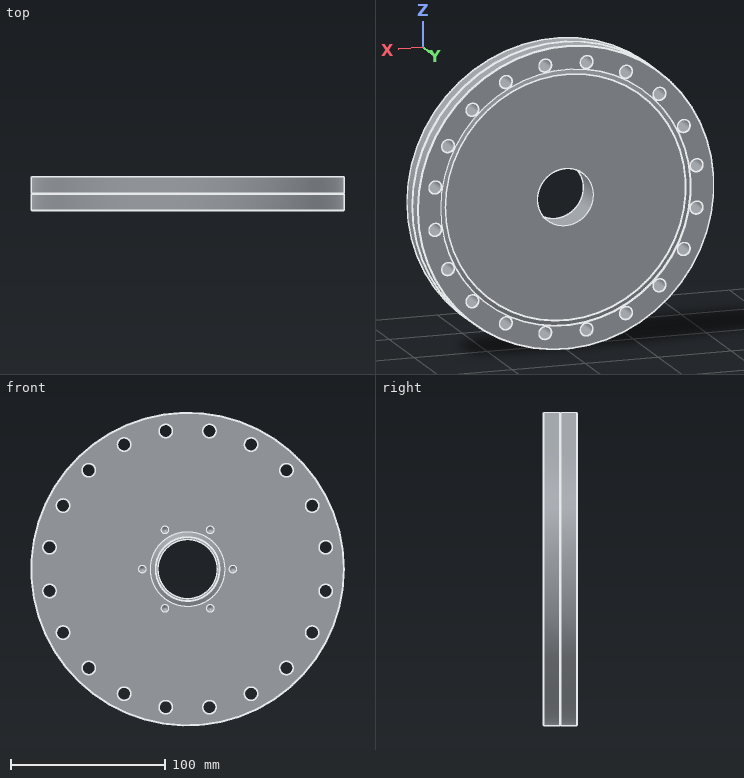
import cadquery as cq
import math

flange_dia = 203.0
thickness = 22.3
rim_chamfer = 0.5
rim_groove_width = 1.0
rim_groove_depth = rim_groove_width / 2
front_y = -thickness / 2
back_y = thickness / 2

bore_dia = 38.2

knife_slope = 20.0
knife_outer_run = 3.2
knife_inner_run = 0.5
recess_depth = 1.8
inner_floor_depth = 1.0
front_recess_dia = 48.3
back_recess_dia = 171.3

bolt_count = 20
bolt_hole_dia = 8.3
bolt_circle_dia = 181.0
bolt_hole_chamfer = 0.3

tapped_count = 6
tapped_hole_dia = 4.9
tapped_circle_dia = 58.7
tapped_depth = 12.2
drill_point_angle = 118.0


def flange_body():
    """Chamfered disc with a shallow V-groove round the middle of the rim."""
    radius = flange_dia / 2
    half_groove = rim_groove_width / 2
    return (
        cq.Workplane("XY")
        .moveTo(0, front_y)
        .lineTo(radius - rim_chamfer, front_y)
        .lineTo(radius, front_y + rim_chamfer)
        .lineTo(radius, -half_groove)
        .lineTo(radius - rim_groove_depth, 0)
        .lineTo(radius, half_groove)
        .lineTo(radius, back_y - rim_chamfer)
        .lineTo(radius - rim_chamfer, back_y)
        .lineTo(0, back_y)
        .close()
        .revolve(360, (0, 0, 0), (0, 1, 0))
    )


def knife_edge_recess(face_y, inward, recess_dia):
    """Recess cut from the face at face_y; inward is the Y sign pointing into the disc."""
    recess_radius = recess_dia / 2
    knife_radius = recess_radius - knife_outer_run
    ridge_rise = knife_outer_run * math.tan(math.radians(knife_slope))
    cone_foot_y = face_y + inward * recess_depth
    ridge_y = cone_foot_y - inward * ridge_rise
    floor_y = face_y + inward * inner_floor_depth
    return (
        cq.Workplane("XY")
        .moveTo(0, face_y)
        .lineTo(recess_radius, face_y)
        .lineTo(recess_radius, cone_foot_y)
        .lineTo(knife_radius, ridge_y)
        .lineTo(knife_radius - knife_inner_run, floor_y)
        .lineTo(0, floor_y)
        .close()
        .revolve(360, (0, 0, 0), (0, 1, 0))
    )


def ring_of_copies(cutter, count, circle_dia, start_angle):
    """Copies of a cutter lying on the Y axis, spaced evenly round a circle."""
    first = cutter.translate((circle_dia / 2, 0, 0))
    copies = cq.Workplane("XY")
    for index in range(count):
        angle = start_angle + index * 360.0 / count
        copies = copies.add(first.rotate((0, 0, 0), (0, 1, 0), angle))
    return copies.combine()


def bolt_holes():
    """Through holes with a small chamfer at both ends."""
    half_pitch = 180.0 / bolt_count
    radius = bolt_hole_dia / 2
    mouth_radius = radius + bolt_hole_chamfer
    cutter = (
        cq.Workplane("XY")
        .moveTo(0, front_y)
        .lineTo(mouth_radius, front_y)
        .lineTo(radius, front_y + bolt_hole_chamfer)
        .lineTo(radius, back_y - bolt_hole_chamfer)
        .lineTo(mouth_radius, back_y)
        .lineTo(0, back_y)
        .close()
        .revolve(360, (0, 0, 0), (0, 1, 0))
    )
    return ring_of_copies(cutter, bolt_count, bolt_circle_dia, half_pitch)


def tapped_holes():
    """Blind holes with conical drill points."""
    radius = tapped_hole_dia / 2
    point_depth = radius / math.tan(math.radians(drill_point_angle / 2))
    drill = (
        cq.Workplane("XY")
        .lineTo(radius, 0)
        .lineTo(radius, tapped_depth)
        .lineTo(0, tapped_depth + point_depth)
        .close()
        .revolve(360, (0, 0, 0), (0, 1, 0))
        .translate((0, front_y, 0))
    )
    return ring_of_copies(drill, tapped_count, tapped_circle_dia, 0)


bore = cq.Workplane("XZ", origin=(0, back_y, 0)).circle(bore_dia / 2).extrude(thickness)
front_recess = knife_edge_recess(front_y, 1, front_recess_dia)
back_recess = knife_edge_recess(back_y, -1, back_recess_dia)

result = (
    flange_body()
    .cut(bore)
    .cut(front_recess)
    .cut(back_recess)
    .cut(bolt_holes())
    .cut(tapped_holes())
)